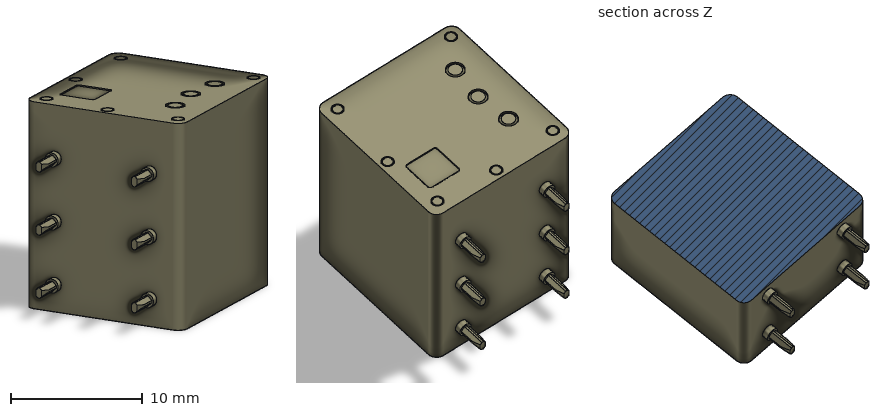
import cadquery as cq

BODY_X = 13.5
BODY_Y = 14.4
BODY_Z = 16.4
CORNER_RADIUS = 0.8

PIN_REACH = 2.6
PIN_COLUMNS = (-4.2, 4.0)
PIN_LOWEST_Z = 2.2
PIN_PITCH = 5.0
PIN_ROWS = 3
COLLAR_DIAMETER = 1.1
COLLAR_LENGTH = 0.53
SHANK_WIDTH = 0.82
SHANK_EDGE_FLAT = 0.17
TIP_WIDTH = 0.5
TIP_TAPER_LENGTH = 0.82

SMALL_RING_DIAMETER = 1.0
SMALL_PLUG_DIAMETER = 0.82
SMALL_RING_DEPTH = 0.2
SMALL_RINGS = ((-5.55, 5.98), (5.75, 6.22), (-5.95, -0.53), (-5.55, -6.0), (5.75, -6.0), (-0.1, -6.4))
LARGE_RING_DIAMETER = 1.5
LARGE_PLUG_DIAMETER = 1.1
LARGE_RING_DEPTH = 0.2
LARGE_RINGS = ((3.9, 3.43), (3.52, 0.24), (3.9, -2.95))

LABEL_CENTER = (-3.69, -3.16)
LABEL_SIZE = 3.0
LABEL_CORNER_RADIUS = 0.2
LABEL_DEPTH = 0.1


def housing():
    return (
        cq.Workplane("XY")
        .box(BODY_X, BODY_Y, BODY_Z, centered=(True, True, False))
        .edges("|Z")
        .fillet(CORNER_RADIUS)
    )


def ring_groove(center, ring_diameter, plug_diameter, depth):
    """Ring with a straight outer wall, left around a conical plug that widens downwards."""
    outer = ring_diameter / 2
    inner = plug_diameter / 2
    return (
        cq.Workplane("XZ", origin=(*center, BODY_Z))
        .polyline([(inner, 0), (outer, 0), (outer, -depth)])
        .close()
        .revolve(360, (0, 0), (0, 1))
    )


def label_recess():
    return (
        cq.Workplane("XY", origin=(*LABEL_CENTER, BODY_Z - LABEL_DEPTH))
        .rect(LABEL_SIZE, LABEL_SIZE)
        .extrude(LABEL_DEPTH)
        .edges("|Z")
        .fillet(LABEL_CORNER_RADIUS)
    )


def pin(x, z):
    """Round collar with a diamond shank whose tip narrows in X."""
    face_y = -BODY_Y / 2
    tip_y = face_y - PIN_REACH
    root = cq.Workplane("XZ", origin=(x, face_y, z))
    collar = root.circle(COLLAR_DIAMETER / 2).extrude(COLLAR_LENGTH)

    half = SHANK_WIDTH / 2
    flat = SHANK_EDGE_FLAT / 2
    shank = root.polyline(
        [
            (half, -flat),
            (half, flat),
            (flat, half),
            (-flat, half),
            (-half, flat),
            (-half, -flat),
            (-flat, -half),
            (flat, -half),
        ]
    ).close().extrude(PIN_REACH)

    half_tip = TIP_WIDTH / 2
    taper_y = tip_y + TIP_TAPER_LENGTH
    taper_envelope = (
        cq.Workplane("XY", origin=(x, 0, z))
        .polyline(
            [
                (-half, face_y),
                (-half, taper_y),
                (-half_tip, tip_y),
                (half_tip, tip_y),
                (half, taper_y),
                (half, face_y),
            ]
        )
        .close()
        .extrude(half, both=True)
    )
    return collar.union(shank.intersect(taper_envelope))


result = housing()
for ring_center in SMALL_RINGS:
    result = result.cut(
        ring_groove(ring_center, SMALL_RING_DIAMETER, SMALL_PLUG_DIAMETER, SMALL_RING_DEPTH)
    )
for ring_center in LARGE_RINGS:
    result = result.cut(
        ring_groove(ring_center, LARGE_RING_DIAMETER, LARGE_PLUG_DIAMETER, LARGE_RING_DEPTH)
    )
result = result.cut(label_recess())
for pin_x in PIN_COLUMNS:
    for row in range(PIN_ROWS):
        result = result.union(pin(pin_x, PIN_LOWEST_Z + row * PIN_PITCH))